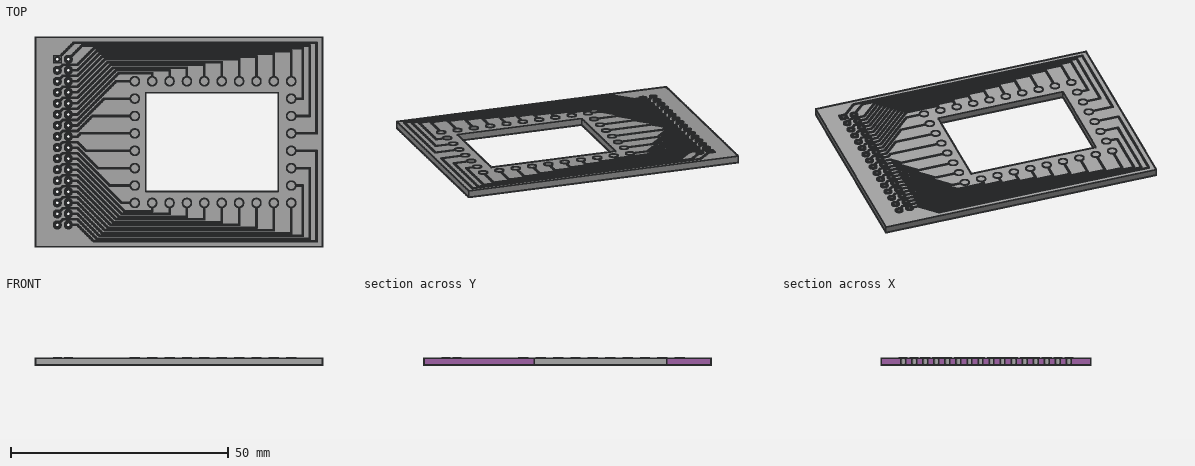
import cadquery as cq

length = 66.05
width = 48.3
thickness = 1.65
pad_height = 0.045
trace_height = 0.03
board_top = thickness - pad_height

window_length = 30.45
window_width = 22.65
window_x = 7.6

header_rows = 16
header_length = 38.1
header_pitch = header_length / (header_rows - 1)
header_pad_diameter = 1.7
hole_diameter = 1.0
outer_column_x = -28.0
inner_column_x = outer_column_x + header_pitch
header_top_y = header_length / 2

contact_diameter = 2.05
contact_columns = 10
contact_rows = 8
contact_ring_length = 36.0
contact_pitch = contact_ring_length / (contact_columns - 1)
contact_left_x = -10.2
contact_top_y = contact_pitch * (contact_rows - 1) / 2

trace_count = 2 * header_rows
trace_width = 0.25
fan_out_x = -23.4
bus_outer_y = 22.85
bus_pitch = 0.635
return_outer_x = 31.65
return_pitch = 1.6
side_contacts = contact_rows // 2 - 1
bus_runs = side_contacts + contact_columns - 1


def header_y(row):
    return header_top_y - row * header_pitch


def contact_x(column):
    return contact_left_x + column * contact_pitch


def contact_y(row):
    return contact_top_y - row * contact_pitch


def header_exit(index, run_y):
    """Points from a header hole to the start of the run at height run_y."""
    row = index // 2
    from_outer_column = index % 2 == 0
    hole_x = outer_column_x if from_outer_column else inner_column_x
    y = header_y(row)
    points = [(hole_x, y)]
    bend_x = fan_out_x
    if row == 0:
        bend_x = hole_x
    elif from_outer_column:
        half_pitch = header_pitch / 2
        y += half_pitch
        points.append((hole_x + half_pitch, y))
    if bend_x > hole_x:
        points.append((bend_x, y))
    points.append((bend_x + abs(run_y - y), run_y))
    return points


def trace_path(index):
    """Centre line of one trace; the runs in the -Y half mirror those in the +Y half."""
    rank = min(index, trace_count - 1 - index)
    side = 1 if index == rank else -1
    bus_y = side * (bus_outer_y - rank * bus_pitch)
    if rank < side_contacts:
        return_x = return_outer_x - rank * return_pitch
        end_y = side * contact_y(side_contacts - rank)
        end = [(return_x, bus_y), (return_x, end_y), (contact_x(contact_columns - 1), end_y)]
        run_y = bus_y
    elif rank < bus_runs:
        end_x = contact_x(bus_runs - rank)
        end = [(end_x, bus_y), (end_x, side * contact_top_y)]
        run_y = bus_y
    else:
        run_y = side * contact_y(rank - bus_runs)
        end = [(contact_left_x, run_y)]
    return header_exit(index, run_y) + end


def make_trace(index):
    path = cq.Wire.makePolygon([cq.Vector(x, y, board_top) for x, y in trace_path(index)])
    outline = path.offset2D(trace_width / 2)[0]
    return cq.Solid.extrudeLinear(outline, [], cq.Vector(0, 0, trace_height))


def contact_centres():
    right_x = contact_x(contact_columns - 1)
    rows = [(x, contact_y(row)) for row in range(1, contact_rows - 1) for x in (contact_left_x, right_x)]
    columns = [(contact_x(c), y) for c in range(contact_columns) for y in (contact_top_y, -contact_top_y)]
    return rows + columns


header_holes = [(x, header_y(row)) for row in range(header_rows) for x in (outer_column_x, inner_column_x)]

board = cq.Workplane().box(length, width, board_top, centered=(True, True, False))

top_plane = cq.Workplane().workplane(offset=board_top)
square_pad = (
    top_plane.center(*header_holes[0])
    .rect(header_pad_diameter, header_pad_diameter)
    .extrude(pad_height)
)
header_pads = top_plane.pushPoints(header_holes[1:]).circle(header_pad_diameter / 2).extrude(pad_height)
contacts = top_plane.pushPoints(contact_centres()).circle(contact_diameter / 2).extrude(pad_height)
pads = square_pad.solids().vals() + header_pads.solids().vals() + contacts.solids().vals()
traces = [make_trace(index) for index in range(trace_count)]

window = (
    cq.Workplane().center(window_x, 0)
    .rect(window_length, window_width)
    .extrude(thickness)
)
holes = cq.Workplane().pushPoints(header_holes).circle(hole_diameter / 2).extrude(thickness)

populated_board = cq.Workplane(board.val().fuse(*pads, *traces))
result = populated_board.cut(window).cut(holes).solids()